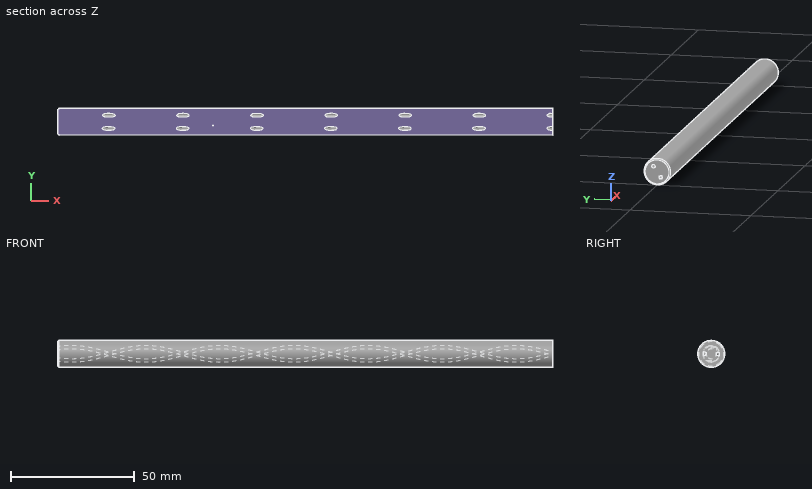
import cadquery as cq
import math

ROD_DIAMETER = 11.0
ROD_LENGTH = 200.0
END_CHAMFER = 0.55

CHANNEL_COUNT = 2
CHANNEL_DIAMETER = 1.4
CHANNEL_CIRCLE_DIAMETER = 5.4
CHANNEL_START_ANGLE = 56.0

HELIX_ANGLE = 30.0
HELIX_PITCH = math.pi * ROD_DIAMETER / math.tan(math.radians(HELIX_ANGLE))
CHANNEL_TWIST = 360.0 * ROD_LENGTH / HELIX_PITCH


def make_rod():
    """Cylinder from X = 0 to X = ROD_LENGTH, chamfered at X = 0."""
    rod = cq.Workplane("YZ").circle(ROD_DIAMETER / 2).extrude(ROD_LENGTH)
    return rod.faces("<X").chamfer(END_CHAMFER)


def make_channel(start_angle):
    """Helical channel over the full rod length, starting at the given angle."""
    return (
        cq.Workplane("YZ")
        .moveTo(CHANNEL_CIRCLE_DIAMETER / 2, 0)
        .circle(CHANNEL_DIAMETER / 2)
        .twistExtrude(ROD_LENGTH, CHANNEL_TWIST)
        .rotate((0, 0, 0), (1, 0, 0), start_angle)
    )


result = make_rod()
for index in range(CHANNEL_COUNT):
    angle = CHANNEL_START_ANGLE + index * 360.0 / CHANNEL_COUNT
    result = result.cut(make_channel(angle))